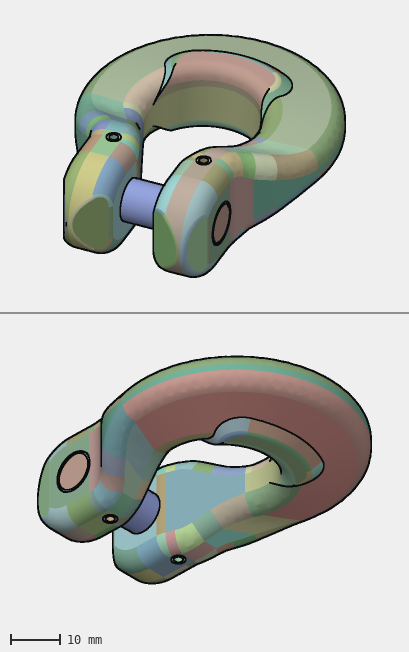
import cadquery as cq
import math

ring_radius = 27.5
bore_radius = 12.0
bore_center_y = -4.0
neck_radius = 8.0
knee_radius = 6.0
ear_outer_x = 16.0
ear_inner_x = 4.5
knee_corner_y = -25.8

ear_half_height = 11.0
ear_center_y = -32.48
ear_end_y = ear_center_y - ear_half_height
rim_half_height = 3.6
ring_slope = 0.226
swell_angle = math.radians(28)
swell_y = -8.5
swell_half_height = 4.2

outer_bevel_y = -37.4
outer_bevel_end_x = 13.4
inner_bevel_y = -39.4
inner_bevel_end_x = 11.77

bead_half_height = 8.0
bead_path_radius = 14.0
bead_half_width = 4.3
bead_flank_angle = math.radians(38)
bead_half_sweep = math.radians(30)

swell_blend = 10.0
bore_round = 3.6
ring_round = 3.6
bead_top_round = 2.0
bead_bore_round = 3.0
bevel_round = 1.1

pin_radius = 4.6
pin_y = -30.56
pin_chamfer = 0.5
lock_x = 10.0
lock_y = -25.95
lock_radius = 1.5
lock_bore_radius = 0.95

clearance = 3.0
tolerance = 0.02


def prism(outline):
    return outline.extrude(ear_half_height + clearance, both=True)


def outer_outline():
    """Ring circle, neck hollows and straight ear sides."""
    hollow_x = ear_outer_x + neck_radius
    reach = ring_radius + neck_radius
    hollow_y = -math.sqrt(reach**2 - hollow_x**2)
    joint_x = hollow_x * ring_radius / reach
    joint_y = hollow_y * ring_radius / reach
    half_turn = math.atan2(-hollow_y, hollow_x) / 2
    middle_x = hollow_x - neck_radius * math.cos(half_turn)
    middle_y = hollow_y + neck_radius * math.sin(half_turn)
    base_y = ear_end_y - clearance
    return (
        cq.Workplane("XY")
        .moveTo(joint_x, joint_y)
        .threePointArc((0, ring_radius), (-joint_x, joint_y))
        .threePointArc((-middle_x, middle_y), (-ear_outer_x, hollow_y))
        .lineTo(-ear_outer_x, base_y)
        .lineTo(ear_outer_x, base_y)
        .lineTo(ear_outer_x, hollow_y)
        .threePointArc((middle_x, middle_y), (joint_x, joint_y))
        .close()
    )


def bore_outline():
    """Bore circle opening through tapering legs into the gap between the ears."""
    corner_from_bore = knee_corner_y - bore_center_y
    reach = math.hypot(ear_inner_x, corner_from_bore)
    touch_angle = math.atan2(corner_from_bore, ear_inner_x) + math.acos(bore_radius / reach)
    touch_x = bore_radius * math.cos(touch_angle)
    touch_y = bore_center_y + bore_radius * math.sin(touch_angle)

    lean = math.atan2(touch_x - ear_inner_x, touch_y - knee_corner_y)
    trim = knee_radius * math.tan(lean / 2)
    low_y = knee_corner_y - trim
    high_x = ear_inner_x + trim * math.sin(lean)
    high_y = knee_corner_y + trim * math.cos(lean)
    middle_x = ear_inner_x + knee_radius * (1 - math.cos(lean / 2))
    middle_y = low_y + knee_radius * math.sin(lean / 2)
    base_y = ear_end_y - 2 * clearance
    return (
        cq.Workplane("XY")
        .moveTo(touch_x, touch_y)
        .threePointArc((0, bore_center_y + bore_radius), (-touch_x, touch_y))
        .lineTo(-high_x, high_y)
        .threePointArc((-middle_x, middle_y), (-ear_inner_x, low_y))
        .lineTo(-ear_inner_x, base_y)
        .lineTo(ear_inner_x, base_y)
        .lineTo(ear_inner_x, low_y)
        .threePointArc((middle_x, middle_y), (high_x, high_y))
        .close()
    )


def ring_disc():
    """Double cone that thins from the centre to the rim."""
    disc_radius = ring_radius + clearance
    edge = rim_half_height - clearance * ring_slope
    apex = rim_half_height + ring_radius * ring_slope
    return (
        cq.Workplane("XZ")
        .polyline([(0, -apex), (disc_radius, -edge), (disc_radius, edge), (0, apex)])
        .close()
        .revolve(360, (0, 0, 0), (0, 1, 0))
    )


def leg_block():
    """Side profile of the legs, climbing to the full height of the round-ended ears."""
    start_y = swell_y + swell_half_height / math.tan(swell_angle)
    corner_y = start_y - ear_half_height / math.tan(swell_angle)
    trim = ear_half_height * math.tan(swell_angle / 2)
    slope_y = corner_y + trim * math.cos(swell_angle)
    slope_z = ear_half_height - trim * math.sin(swell_angle)
    top_y = corner_y - trim
    middle_y = top_y + ear_half_height * math.sin(swell_angle / 2)
    middle_z = ear_half_height * math.cos(swell_angle / 2)
    return (
        cq.Workplane("YZ")
        .moveTo(start_y, 0)
        .lineTo(slope_y, slope_z)
        .threePointArc((middle_y, middle_z), (top_y, ear_half_height))
        .lineTo(ear_center_y, ear_half_height)
        .threePointArc((ear_end_y, 0), (ear_center_y, -ear_half_height))
        .lineTo(top_y, -ear_half_height)
        .threePointArc((middle_y, -middle_z), (slope_y, -slope_z))
        .close()
        .extrude(ring_radius + 2 * clearance, both=True)
    )


def round_edges_along(body, outline, radius):
    """Round the upper and lower edges of the upright wall that follows an outline."""
    wall_line = outline.wire().val()

    def on_wall(edge):
        points = [edge.positionAt(share) for share in (0.1, 0.5, 0.9)]
        spots = [cq.Vertex.makeVertex(point.x, point.y, 0) for point in points]
        return all(wall_line.distance(spot) < tolerance for spot in spots)

    def upright(edge):
        box = edge.BoundingBox()
        return math.hypot(box.xlen, box.ylen) < tolerance

    edges = [edge for edge in body.edges().vals() if on_wall(edge) and not upright(edge)]
    return body.newObject([body.val().fillet(radius, edges)])


def ear_bevels():
    """Wedges that bring each ear end to a blunt point."""
    base_y = ear_end_y - clearance
    wedges = []
    for side in (1, -1):
        for wall_x, wall_y, end_x in (
            (ear_outer_x, outer_bevel_y, outer_bevel_end_x),
            (ear_inner_x, inner_bevel_y, inner_bevel_end_x),
        ):
            outward = math.copysign(clearance, wall_x - end_x)
            corners = [
                (wall_x, wall_y),
                (end_x, ear_end_y),
                (end_x, base_y),
                (wall_x + outward, base_y),
                (wall_x + outward, wall_y),
            ]
            wedges.append(prism(cq.Workplane("XY").polyline([(side * x, y) for x, y in corners]).close()))
    return wedges


def round_bevel_edges(body):
    """Round every edge of the flat bevels, which face both sideways and towards -Y."""
    least_lean = 0.1
    edges = []
    for face in body.faces("%PLANE").vals():
        normal = face.normalAt()
        at_ear_end = face.Center().y < ear_center_y
        if at_ear_end and normal.y < -least_lean and abs(normal.x) > least_lean:
            for edge in face.Edges():
                if not any(edge.isSame(known) for known in edges):
                    edges.append(edge)
    return body.newObject([body.val().fillet(bevel_round, edges)])


def crown_bead():
    """Raised bead round the crown of the bore, with round ends and a rounded bore edge."""
    top_radius = bead_path_radius + bead_half_width
    flank_run = bead_half_height / math.tan(bead_flank_angle)
    end_x = bead_path_radius * math.sin(bead_half_sweep)
    end_y = bore_center_y + bead_path_radius * math.cos(bead_half_sweep)
    axis_low = (0, bore_center_y, 0)
    axis_high = (0, bore_center_y, 1)

    arch = (
        cq.Workplane("XZ", origin=axis_low)
        .polyline([
            (0, -bead_half_height),
            (top_radius, -bead_half_height),
            (top_radius + flank_run, 0),
            (top_radius, bead_half_height),
            (0, bead_half_height),
        ])
        .close()
        .revolve(math.degrees(2 * bead_half_sweep), (0, 0, 0), (0, 1, 0))
        .rotate(axis_low, axis_high, 90 - math.degrees(bead_half_sweep))
    )
    end = (
        cq.Workplane("XZ")
        .polyline([
            (0, -bead_half_height),
            (bead_half_width, -bead_half_height),
            (bead_half_width + flank_run, 0),
            (bead_half_width, bead_half_height),
            (0, bead_half_height),
        ])
        .close()
        .revolve(360, (0, 0, 0), (0, 1, 0))
    )
    bead = arch.union(end.translate((end_x, end_y, 0))).union(end.translate((-end_x, end_y, 0))).clean()
    bead = bead.faces("<Z or >Z").edges("%CIRCLE").fillet(bead_top_round)

    round_z = bead_half_height - bead_bore_round
    round_x = bore_radius + bead_bore_round
    bore_wall = (
        cq.Workplane("XZ", origin=axis_low)
        .moveTo(bore_radius, -round_z)
        .lineTo(bore_radius, round_z)
        .radiusArc((round_x, bead_half_height), bead_bore_round)
        .lineTo(ring_radius, bead_half_height)
        .lineTo(ring_radius, -bead_half_height)
        .lineTo(round_x, -bead_half_height)
        .radiusArc((bore_radius, -round_z), bead_bore_round)
        .close()
        .revolve(360, (0, 0, 0), (0, 1, 0))
    )
    return bead.intersect(bore_wall)


def load_pin():
    return cq.Workplane("YZ", origin=(-ear_outer_x, pin_y, 0)).circle(pin_radius).extrude(2 * ear_outer_x)


def lock_rod(side, radius):
    """Upright rod on the locking pin axis of one ear, as tall as the ear."""
    start = (side * lock_x, lock_y, -ear_half_height)
    return cq.Workplane("XY", origin=start).circle(radius).extrude(2 * ear_half_height)


shackle = ring_disc().union(leg_block())
shackle = shackle.edges("%HYPERBOLA").fillet(swell_blend)
shackle = shackle.intersect(prism(outer_outline())).cut(prism(bore_outline()))
shackle = round_edges_along(shackle, bore_outline(), bore_round)
shackle = shackle.union(crown_bead())
shackle = round_edges_along(shackle, outer_outline(), ring_round)
for wedge in ear_bevels():
    shackle = shackle.cut(wedge)
shackle = round_bevel_edges(shackle)
shackle = shackle.cut(load_pin())

pin = load_pin().faces("<X or >X").chamfer(pin_chamfer)

locking_pins = []
for side in (1, -1):
    rod = lock_rod(side, lock_radius)
    shackle = shackle.cut(rod)
    pin = pin.cut(rod)
    locking_pins.append(rod.cut(lock_rod(side, lock_bore_radius)).val())

result = cq.Compound.makeCompound([shackle.val(), pin.val(), *locking_pins])